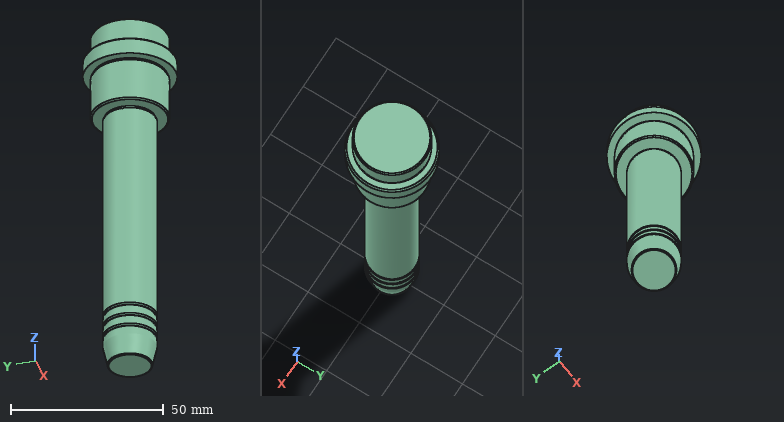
import cadquery as cq
import math

total_height = 126.0
head_radius = 13.0
collar_radius = 15.5
shaft_radius = 9.0
neck_radius = 8.5

collar_top = 117.0
collar_bottom = 111.0
body_bottom = 95.0
neck_bottom = 94.0
nose_height = 7.0

edge_chamfer = 0.5
collar_chamfer = 0.6
relief_height = 0.5
relief_depth = 0.5

nose_angle = math.radians(13)
nose_chamfer = 0.4

groove_count = 3
groove_pitch = 4.0
first_groove_height = 10.5
groove_width = 1.0
groove_depth = 0.5


def cylinder(radius, bottom, top):
    return cq.Workplane("XY").workplane(offset=bottom).circle(radius).extrude(top - bottom)


def make_head():
    """Top disc with chamfered rims and a narrow relief above the collar."""
    relief_top = collar_top + relief_height
    disc = cylinder(head_radius, relief_top, total_height).faces("<Z or >Z").chamfer(edge_chamfer)
    relief = cylinder(head_radius - relief_depth, collar_top, relief_top)
    return disc.union(relief)


def make_collar():
    collar = cylinder(collar_radius, collar_bottom, collar_top)
    return collar.faces(">Z").chamfer(collar_chamfer)


def make_body():
    """Wide body below the collar, with a narrow relief at its top."""
    relief_bottom = collar_bottom - relief_height
    body = cylinder(head_radius, body_bottom, relief_bottom).faces("<Z or >Z").chamfer(edge_chamfer)
    relief = cylinder(head_radius - relief_depth, relief_bottom, collar_bottom)
    return body.union(relief)


def make_nose():
    """Tapered end with a chamfered tip."""
    tip_radius = shaft_radius - (nose_height - nose_chamfer) * math.tan(nose_angle)
    return (
        cq.Workplane("XZ")
        .moveTo(0, nose_height)
        .lineTo(shaft_radius, nose_height)
        .lineTo(tip_radius, nose_chamfer)
        .lineTo(tip_radius - nose_chamfer, 0)
        .lineTo(0, 0)
        .close()
        .revolve(360, (0, 0), (0, 1))
    )


def make_groove(height):
    """Ring that cuts one V groove centred at the given height."""
    return (
        cq.Workplane("XZ")
        .moveTo(shaft_radius, height - groove_width / 2)
        .lineTo(shaft_radius - groove_depth, height)
        .lineTo(shaft_radius, height + groove_width / 2)
        .close()
        .revolve(360, (0, 0), (0, 1))
    )


shaft = cylinder(shaft_radius, nose_height, neck_bottom)
for index in range(groove_count):
    shaft = shaft.cut(make_groove(first_groove_height + index * groove_pitch))

neck = cylinder(neck_radius, neck_bottom, body_bottom)

result = make_nose().union(shaft).union(neck).union(make_body()).union(make_collar()).union(make_head())